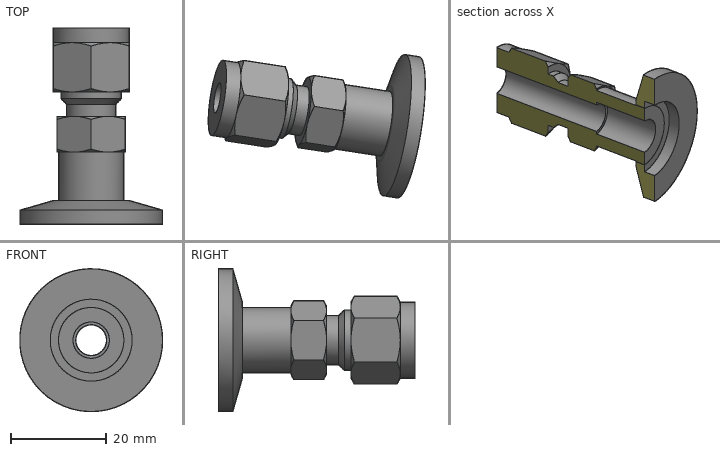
import cadquery as cq
import math


FLANGE_DIAMETER = 30.0
RIM_THICKNESS = 3.0
FLANGE_THICKNESS = 5.03
CONE_TOP_DIAMETER = 16.0
RECESS_DIAMETER = 17.2
RECESS_DEPTH = 2.6

HEX_START = 15.15
HEX_END = 22.65
COLLAR_CHAMFER_START = 25.17
COLLAR_START = 26.35
NUT_START = 27.75
NUT_END = 38.1
FITTING_END = 41.2

TUBE_DIAMETER = 13.7
HEX_ACROSS_FLATS = 14.35
NECK_DIAMETER = 10.4
COLLAR_DIAMETER = 12.7
NUT_ACROSS_FLATS = 16.0
TUBE_BORE_DIAMETER = 7.62
THROUGH_BORE_DIAMETER = 6.4
HEX_CHAMFER_ANGLE = 30.0


def cylinder(diameter, start, end):
    """Cylinder along Y from start to end."""
    plane = cq.Plane(origin=(0, start, 0), xDir=(1, 0, 0), normal=(0, 1, 0))
    return cq.Workplane(plane).circle(diameter / 2).extrude(end - start)


def revolve_profile(points):
    """Revolve a closed (radius, Y) outline about the Y axis."""
    return cq.Workplane("XY").polyline(points).close().revolve(360, (0, 0, 0), (0, 1, 0))


def chamfered_hexagon(across_flats, start, end):
    """Hexagonal prism along Y, flats facing +X and -X, corners chamfered at both ends."""
    flat_radius = across_flats / 2
    corner_radius = flat_radius / math.cos(math.pi / 6)
    corner_points = []
    for corner in range(6):
        angle = math.pi / 2 + corner * math.pi / 3
        corner_points.append((corner_radius * math.cos(angle), corner_radius * math.sin(angle)))
    plane = cq.Plane(origin=(0, start, 0), xDir=(1, 0, 0), normal=(0, 1, 0))
    prism = cq.Workplane(plane).polyline(corner_points).close().extrude(end - start)

    chamfer_depth = (corner_radius - flat_radius) * math.tan(math.radians(HEX_CHAMFER_ANGLE))
    chamfer_envelope = revolve_profile([
        (0, start),
        (flat_radius, start),
        (corner_radius, start + chamfer_depth),
        (corner_radius, end - chamfer_depth),
        (flat_radius, end),
        (0, end),
    ])
    return prism.intersect(chamfer_envelope)


def make_flange():
    """Conical-backed flange with a front recess and a hole for the fitting tube."""
    flange = revolve_profile([
        (0, 0),
        (FLANGE_DIAMETER / 2, 0),
        (FLANGE_DIAMETER / 2, RIM_THICKNESS),
        (CONE_TOP_DIAMETER / 2, FLANGE_THICKNESS),
        (0, FLANGE_THICKNESS),
    ])
    recess = cylinder(RECESS_DIAMETER, 0, RECESS_DEPTH)
    tube_hole = cylinder(TUBE_DIAMETER, 0, FLANGE_THICKNESS)
    return flange.cut(recess).cut(tube_hole)


def make_fitting():
    """Tube, hexagon, neck, collar and nut section, with a stepped bore right through."""
    tube = cylinder(TUBE_DIAMETER, RECESS_DEPTH, HEX_START)
    hexagon = chamfered_hexagon(HEX_ACROSS_FLATS, HEX_START, HEX_END)
    neck_and_collar = revolve_profile([
        (0, HEX_END),
        (NECK_DIAMETER / 2, HEX_END),
        (NECK_DIAMETER / 2, COLLAR_CHAMFER_START),
        (COLLAR_DIAMETER / 2, COLLAR_START),
        (COLLAR_DIAMETER / 2, NUT_START),
        (0, NUT_START),
    ])
    nut_hexagon = chamfered_hexagon(NUT_ACROSS_FLATS, NUT_START, NUT_END)
    nut_end = cylinder(NUT_ACROSS_FLATS, NUT_END, FITTING_END)
    outside = tube.union(hexagon).union(neck_and_collar).union(nut_hexagon).union(nut_end)

    tube_bore = cylinder(TUBE_BORE_DIAMETER, RECESS_DEPTH, HEX_START)
    through_bore = cylinder(THROUGH_BORE_DIAMETER, RECESS_DEPTH, FITTING_END)
    return outside.cut(tube_bore).cut(through_bore)


flange = make_flange()
fitting = make_fitting()

result = cq.Compound.makeCompound([flange.val(), fitting.val()])